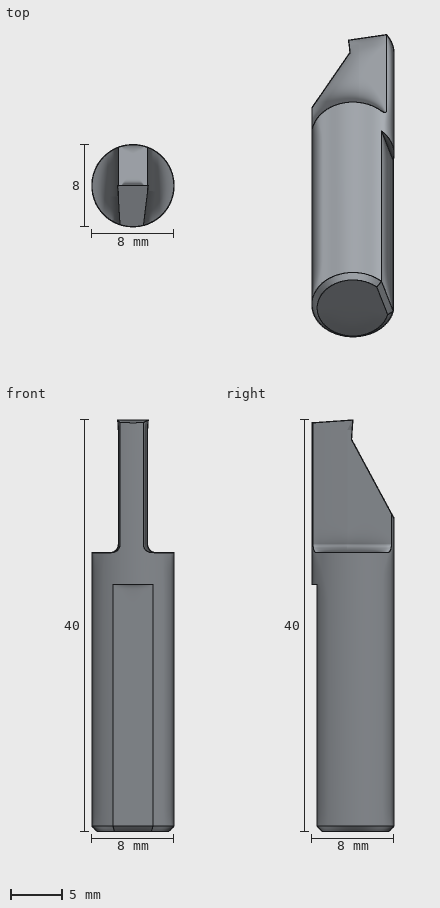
import cadquery as cq
import math

diameter = 8.0
radius = diameter / 2
total_length = 40.0
floor_height = 27.1
bottom_chamfer = 0.52

flat_offset = 3.5
flat_top = 24.0

blade_half_width = 1.425
foot_fillet = 0.8
left_relief_angle = 3.5
right_relief_angle = 7.0

edge_half_width = 1.49
head_depth = 1.0
end_relief_angle = 4.0
face_depth = 1.9
face_setback = 0.13
back_slope_angle = 28.3

margin = 1.0
reach = radius + margin
cut_top = total_length + margin


def rise(angle, run):
    """Offset reached by a line at an angle (degrees) over a run."""
    return run * math.tan(math.radians(angle))


def make_shank():
    """Round bar with a clamping flat; the bottom chamfer also runs along the flat."""
    bar = cq.Workplane("XY").circle(radius).extrude(total_length)
    bar = bar.faces("<Z").chamfer(bottom_chamfer)
    flat_cut = (
        cq.Workplane("YZ", origin=(-reach, 0, 0))
        .polyline([
            (-flat_offset, flat_top),
            (-flat_offset, bottom_chamfer),
            (bottom_chamfer - flat_offset, 0),
            (-reach, 0),
            (-reach, flat_top),
        ])
        .close()
        .extrude(2 * reach)
    )
    return bar.cut(flat_cut)


def make_side_pocket(side, relief_angle):
    """Pocket beside the blade; side is -1 for -X and +1 for +X."""
    bend_y = -(edge_half_width - blade_half_width) / rise(relief_angle, 1)
    front_offset = edge_half_width - rise(relief_angle, reach)
    outline = [
        (side * blade_half_width, reach),
        (side * blade_half_width, bend_y),
        (side * front_offset, -reach),
        (side * reach, -reach),
        (side * reach, reach),
    ]
    pocket = (
        cq.Workplane("XY", origin=(0, 0, floor_height))
        .polyline(outline)
        .close()
        .extrude(cut_top - floor_height)
    )
    foot_edges = cq.selectors.BoxSelector(
        (-side * margin, -reach - margin, floor_height - margin),
        (side * (reach - margin), reach + margin, floor_height + margin),
    )
    wall_foot = pocket.faces("<Z").edges(foot_edges).edges("not(|X)")
    return wall_foot.fillet(foot_fillet)


def make_head():
    """Head that widens upward to the cutting edge, inside both relief planes."""
    head_bottom = total_length - head_depth
    flare = (
        cq.Workplane("XZ")
        .polyline([
            (-blade_half_width, head_bottom),
            (blade_half_width, head_bottom),
            (edge_half_width, total_length),
            (-edge_half_width, total_length),
        ])
        .close()
        .extrude(radius)
    )
    relief = (
        cq.Workplane("XY", origin=(0, 0, head_bottom))
        .polyline([
            (-edge_half_width, 0),
            (edge_half_width, 0),
            (edge_half_width - rise(right_relief_angle, radius), -radius),
            (-edge_half_width + rise(left_relief_angle, radius), -radius),
        ])
        .close()
        .extrude(head_depth)
    )
    bar = cq.Workplane("XY").circle(radius).extrude(total_length)
    return flare.intersect(relief).intersect(bar)


def make_blade_profile_cut():
    """Material above the end face, in front of the rake face and over the back slope."""
    face_bottom = total_length - face_depth
    slope_run = reach + face_setback
    slope_end = face_bottom - slope_run / rise(back_slope_angle, 1)
    return (
        cq.Workplane("YZ", origin=(-reach, 0, 0))
        .polyline([
            (-reach, total_length - rise(end_relief_angle, reach)),
            (0, total_length),
            (-face_setback, face_bottom),
            (reach, slope_end),
            (reach, cut_top),
            (-reach, cut_top),
        ])
        .close()
        .extrude(2 * reach)
    )


result = (
    make_shank()
    .cut(make_side_pocket(-1, left_relief_angle))
    .cut(make_side_pocket(1, right_relief_angle))
    .union(make_head())
    .cut(make_blade_profile_cut())
)